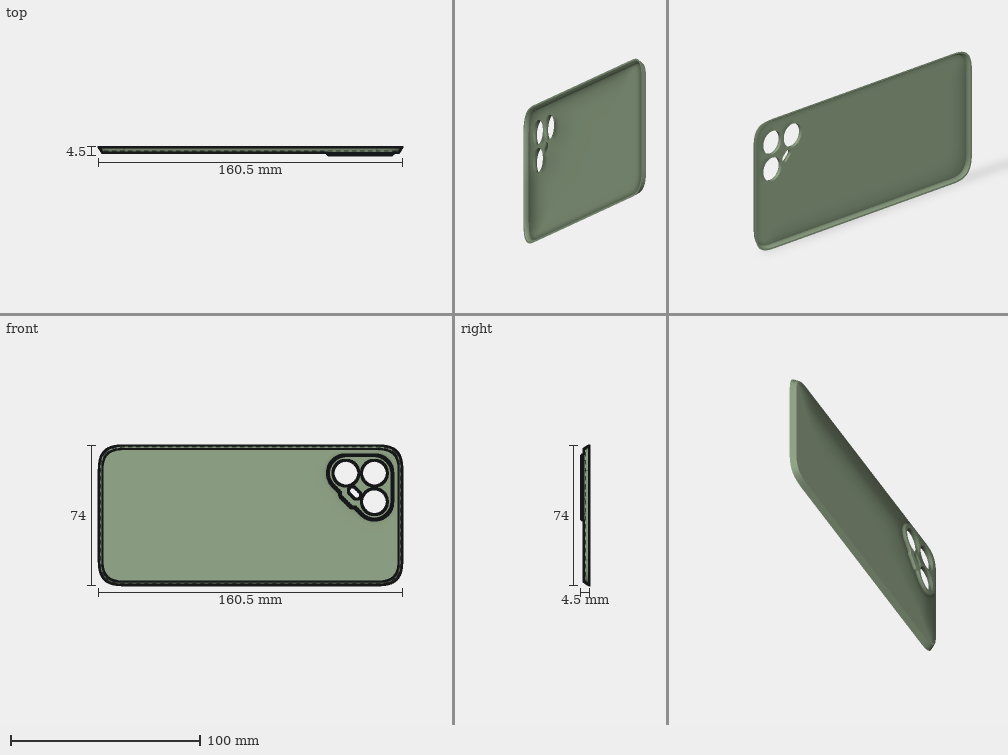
import cadquery as cq
import math

plate_length = 160.5
plate_height = 74.0
plate_thickness = 3.0
corner_reach = 13.3
corner_fullness = 0.72
edge_taper = 2.0

skin_thickness = 1.0
wall_width = skin_thickness
cavity_depth = plate_thickness - skin_thickness

total_thickness = 4.5
frame_thickness = total_thickness - plate_thickness
frame_radius = 10.0
frame_chamfer = 1.0
lens_radius = 6.6
lens_chamfer = 0.5
chamfer_angle = 45
lens_pitch = 15.1
corner_lens_x = 65.5
corner_lens_z = 22.3

diagonal_angle = 45
flash_length = 7.0
flash_width = 3.9
flash_chamfer = 0.5
flash_offset = 4.2
bulge_height = 1.3
bulge_top_length = 8.7
bulge_base_length = 11.5

plate_front_y = -plate_thickness
frame_front_y = -total_thickness

lens_centers = [
    (corner_lens_x - lens_pitch, corner_lens_z),
    (corner_lens_x, corner_lens_z),
    (corner_lens_x, corner_lens_z - lens_pitch),
]
diagonal_middle = (corner_lens_x - lens_pitch / 2, corner_lens_z - lens_pitch / 2)


def front_workplane(y):
    """Sketch plane at depth y: local x is X, local y is Z, normal is -Y."""
    return cq.Workplane("XZ", origin=(0, y, 0))


def diagonal_point(along, outward):
    """Point placed from the middle of the lens diagonal: along it, then toward lower left."""
    step = math.sqrt(0.5)
    middle_x, middle_z = diagonal_middle
    return (middle_x + step * (along - outward), middle_z - step * (along + outward))


def rounded_outline(inset, y):
    """Closed plate outline at depth y, with curvature that builds up gradually in the corners."""
    half_length = plate_length / 2 - inset
    half_height = plate_height / 2 - inset
    reach = corner_reach - inset
    handle_gap = reach * (1 - corner_fullness)
    outline = front_workplane(y).moveTo(reach - half_length, half_height)
    for side_x, side_z in [(1, 1), (1, -1), (-1, -1), (-1, 1)]:
        corner_x = side_x * half_length
        corner_z = side_z * half_height
        along_x = [
            (corner_x - side_x * reach, corner_z),
            (corner_x - side_x * handle_gap, corner_z),
        ]
        along_z = [
            (corner_x, corner_z - side_z * handle_gap),
            (corner_x, corner_z - side_z * reach),
        ]
        if side_x == side_z:
            curve = along_x + along_z
        else:
            curve = along_z[::-1] + along_x[::-1]
        outline = outline.lineTo(*curve[0]).bezier(curve)
    return outline.close().val()


def tapered_block(rear_inset, front_inset, depth):
    """Block on the rear plane, its rounded outline shrinking from rear to front."""
    rear = rounded_outline(rear_inset, 0)
    front = rounded_outline(front_inset, -depth)
    return cq.Workplane(cq.Solid.makeLoft([rear, front], True))


def frame_blank():
    left_x, top_lens_z = lens_centers[0]
    right_x, bottom_z = lens_centers[2]
    arc_reach = frame_radius * math.sqrt(0.5)
    half_base = bulge_base_length / 2
    half_top = bulge_top_length / 2
    half_diagonal = lens_pitch * math.sqrt(0.5)
    bulge_reach = frame_radius + bulge_height
    outline = (
        front_workplane(plate_front_y)
        .moveTo(left_x, top_lens_z + frame_radius)
        .lineTo(right_x, top_lens_z + frame_radius)
        .threePointArc(
            (right_x + arc_reach, top_lens_z + arc_reach), (right_x + frame_radius, top_lens_z)
        )
        .lineTo(right_x + frame_radius, bottom_z)
        .threePointArc((right_x, bottom_z - frame_radius), diagonal_point(half_diagonal, frame_radius))
        .lineTo(*diagonal_point(half_base, frame_radius))
        .lineTo(*diagonal_point(half_top, bulge_reach))
        .lineTo(*diagonal_point(-half_top, bulge_reach))
        .lineTo(*diagonal_point(-half_base, frame_radius))
        .lineTo(*diagonal_point(-half_diagonal, frame_radius))
        .threePointArc((left_x - frame_radius, top_lens_z), (left_x, top_lens_z + frame_radius))
        .close()
    )
    return outline.extrude(frame_thickness).faces("<Y").chamfer(frame_chamfer)


def lens_openings():
    return front_workplane(0).pushPoints(lens_centers).circle(lens_radius).extrude(total_thickness)


def flash_opening():
    return (
        front_workplane(0)
        .center(*diagonal_point(0, flash_offset))
        .slot2D(flash_length, flash_width, -diagonal_angle)
        .extrude(total_thickness)
    )


def lens_countersinks():
    return (
        front_workplane(frame_front_y)
        .pushPoints(lens_centers)
        .circle(lens_radius + lens_chamfer)
        .extrude(-lens_chamfer, taper=chamfer_angle)
    )


def flash_countersink():
    rim = 2 * flash_chamfer
    return (
        front_workplane(frame_front_y)
        .center(*diagonal_point(0, flash_offset))
        .slot2D(flash_length + rim, flash_width + rim, -diagonal_angle)
        .extrude(-flash_chamfer, taper=chamfer_angle)
    )


def back_plate():
    cavity_front_inset = wall_width + edge_taper * cavity_depth / plate_thickness
    outer = tapered_block(0, edge_taper, plate_thickness)
    cavity = tapered_block(wall_width, cavity_front_inset, cavity_depth)
    return outer.cut(cavity).cut(lens_openings()).cut(flash_opening())


def camera_frame():
    return (
        frame_blank()
        .cut(lens_openings())
        .cut(flash_opening())
        .cut(lens_countersinks())
        .cut(flash_countersink())
    )


plate = back_plate()
frame = camera_frame()

result = cq.Compound.makeCompound([plate.val(), frame.val()])